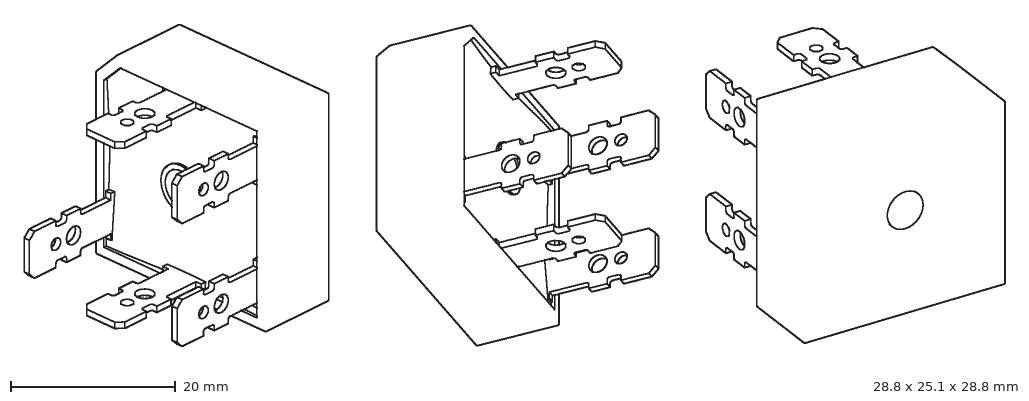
import cadquery as cq
import math

SIDE = 28.8
TOTAL_DEPTH = 25.1
TERMINAL_REACH = 13.95
HOUSING_DEPTH = TOTAL_DEPTH - TERMINAL_REACH
CORNER_CUT = 3.6
EDGE_RADIUS = 0.25
BACK_Y = TOTAL_DEPTH / 2
FRONT_Y = BACK_Y - HOUSING_DEPTH
TIP_Y = FRONT_Y - TERMINAL_REACH

WALL = 1.5
RECESS_SIDE = SIDE - 2 * WALL
RECESS_CUT = CORNER_CUT - WALL * (2 - math.sqrt(2))
RECESS_DEPTH = 2.3

HOLE_DIAMETER = 5.1
TUBE_DIAMETER = 6.57

POTTING_AT_TUBE = 0.3
POTTING_POINTS = [(6.05, 1.15), (8.93, 1.38), (12.95, 0.98)]
POTTING_RIM_RADIUS = 18.43
POTTING_AT_RIM = 0.43

TERMINAL_THICKNESS = 0.9
TERMINAL_WIDTH = 6.48
NECK_WIDTH = 4.7
TIP_CHAMFER = 0.9
NOTCH_START_FROM_TIP = 4.65
NOTCH_END_FROM_TIP = 6.48
SHOULDER_FROM_TIP = 8.95
NOTCH_RADIUS = 0.35
LARGE_HOLE_DIAMETER = 2.42
LARGE_HOLE_FROM_TIP = (SHOULDER_FROM_TIP + NOTCH_END_FROM_TIP) / 2
SMALL_HOLE_DIAMETER = 1.6
SMALL_HOLE_FROM_TIP = NOTCH_START_FROM_TIP
ROOT_FRONT_DEPTH = 0.3
ROOT_FROM_TIP = TERMINAL_REACH + ROOT_FRONT_DEPTH
TERMINAL_LENGTH = TERMINAL_REACH + RECESS_DEPTH
TERMINAL_OFFSET = RECESS_SIDE / 2 - TERMINAL_THICKNESS / 2
SIDE_TERMINAL_Z = 8.5


def cut_corner_prism(side, corner_cut, depth):
    """Square prism from the front face back, with the -X, +Z corner cut off."""
    half = side / 2
    outline = [
        (-half, -half),
        (half, -half),
        (half, half),
        (-half + corner_cut, half),
        (-half, half - corner_cut),
    ]
    front_plane = cq.Workplane("XZ", origin=(0, FRONT_Y, 0))
    return front_plane.polyline(outline).close().extrude(-depth)


def make_potting():
    """Tube and potting around the hole axis, filled down to the recess floor."""
    floor_y = FRONT_Y + RECESS_DEPTH
    tube_radius = TUBE_DIAMETER / 2
    surface = [(radius, FRONT_Y + depth) for radius, depth in POTTING_POINTS]
    surface.append((POTTING_RIM_RADIUS, FRONT_Y + POTTING_AT_RIM))
    return (
        cq.Workplane("XY")
        .moveTo(0, floor_y)
        .lineTo(0, FRONT_Y)
        .lineTo(tube_radius, FRONT_Y)
        .lineTo(tube_radius, FRONT_Y + POTTING_AT_TUBE)
        .spline(surface, includeCurrent=True)
        .lineTo(POTTING_RIM_RADIUS, floor_y)
        .close()
        .revolve(360, (0, 0, 0), (0, 1, 0))
    )


def make_housing():
    block = cut_corner_prism(SIDE, CORNER_CUT, HOUSING_DEPTH).edges().fillet(EDGE_RADIUS)
    recess = cut_corner_prism(RECESS_SIDE, RECESS_CUT, RECESS_DEPTH)
    return block.cut(recess.cut(make_potting()))


def make_terminal():
    """Terminal lying flat, centred on Z = 0, with its width along X and its tip at TIP_Y."""

    def plate(width, start, end):
        middle = TIP_Y + (start + end) / 2
        return cq.Workplane("XY").center(0, middle).box(width, end - start, TERMINAL_THICKNESS)

    def hole(diameter, from_tip):
        centre = (0, TIP_Y + from_tip, -TERMINAL_THICKNESS / 2)
        return cq.Workplane("XY", origin=centre).circle(diameter / 2).extrude(TERMINAL_THICKNESS)

    head = plate(TERMINAL_WIDTH, 0, NOTCH_START_FROM_TIP)
    head = head.faces("<Y").edges("|Z").chamfer(TIP_CHAMFER)
    ears = plate(TERMINAL_WIDTH, NOTCH_END_FROM_TIP, SHOULDER_FROM_TIP)
    root = plate(TERMINAL_WIDTH, ROOT_FROM_TIP, TERMINAL_LENGTH)
    neck = plate(NECK_WIDTH, NOTCH_START_FROM_TIP, TERMINAL_LENGTH)
    blade = head.union(neck).union(ears).union(root)

    half_neck = NECK_WIDTH / 2
    for from_tip in (NOTCH_START_FROM_TIP, NOTCH_END_FROM_TIP, SHOULDER_FROM_TIP):
        for x in (-half_neck, half_neck):
            corner = cq.selectors.NearestToPointSelector((x, TIP_Y + from_tip, 0))
            blade = blade.edges("|Z").edges(corner).fillet(NOTCH_RADIUS)

    blade = blade.cut(hole(LARGE_HOLE_DIAMETER, LARGE_HOLE_FROM_TIP))
    return blade.cut(hole(SMALL_HOLE_DIAMETER, SMALL_HOLE_FROM_TIP))


flat_terminal = make_terminal()
upright_terminal = flat_terminal.rotate((0, 0, 0), (0, 1, 0), 90)

result = make_housing()
for z in (-TERMINAL_OFFSET, TERMINAL_OFFSET):
    result = result.union(flat_terminal.translate((0, 0, z)))
for x, z in (
    (-TERMINAL_OFFSET, -SIDE_TERMINAL_Z),
    (TERMINAL_OFFSET, -SIDE_TERMINAL_Z),
    (TERMINAL_OFFSET, SIDE_TERMINAL_Z),
):
    result = result.union(upright_terminal.translate((x, 0, z)))

bolt_hole = (
    cq.Workplane("XZ", origin=(0, FRONT_Y, 0))
    .circle(HOLE_DIAMETER / 2)
    .extrude(-HOUSING_DEPTH)
)
result = result.cut(bolt_hole)